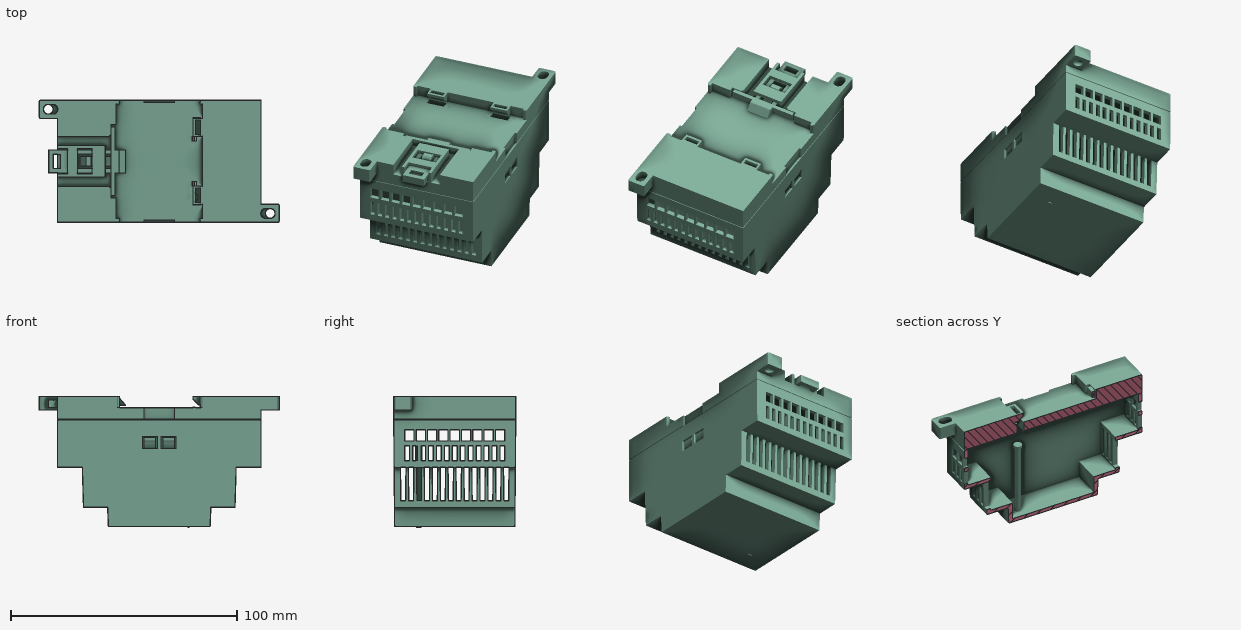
import cadquery as cq


length = 90.0
width = 54.0
overall_length = 106.0
top_z = 57.5
recess_z = 52.5
joint_z = 47.5
groove_bottom_z = 47.0
joint_groove_depth = 0.3
half_length = length / 2
half_width = width / 2

tab_recess_length = 13.3
tab_recess_depth = 1.0

wall = 2.0
upper_step_z = 26.1
lower_step_z = 8.5
middle_half_top = 34.0
middle_half_bottom = 33.5
lower_half_top = 22.85
lower_half_bottom = 22.5
side_draft = 0.4

window_count = 9
window_pitch = 5.0
window_width = 4.0
window_bottom_z = 37.9
window_height = 4.8

vent_pitch = 3.5
vent_width = 2.0
upper_vent_count = 13
upper_vent_bottom_z = 29.15
upper_vent_height = 6.45
lower_vent_count = 14
lower_vent_bottom_z = 11.5
lower_vent_top_width = 2.3

latch_width = 6.6
latch_centre_x = 4.1
latch_bottom_z = 34.5
latch_top_z = 39.7
latch_depth = 1.5
latch_wedge_width = 5.1
latch_wedge_top_z = 39.3
latch_wedge_edge_z = 37.9
latch_wedge_height = 1.0

post_x = 15.3
post_y = -15.9
post_radius = 1.35
post_head_radius = 1.9
post_head_bottom_z = 36.0
post_top_z = 37.5
foot_x = 13.0
foot_thickness = 0.4
foot_width = 1.9
foot_height = 0.3

ear_length = (overall_length - length) / 2
ear_width = 8.1
ear_bottom_z = 51.4
ear_corner_radius = 0.7
ear_hole_x = 49.0
ear_hole_y = 23.0
ear_hole_radius = 2.1
ear_slot_inner_x = 47.0
ear_slot_radius = 2.2
ear_slot_depth = 4.0

recess_half = 19.2
lip_width = 1.7
left_lip_x = -17.5
right_lip_x = 18.1
left_lip_radius = 1.0
right_lip_radius = 0.75

channel_half = 11.05
channel_flare_length = 1.0
channel_flare_width = 0.8
bar_slot_half = 16.2
bar_left_x = -21.2

bridge_half = 7.0
bridge_end_top_x = -23.9
bridge_end_bottom_x = -23.5
bridge_opening_half = 5.65
bridge_mouth_x = -40.5
bridge_window_left_x = -36.1
bridge_window_right_x = -29.6

hook_left_x = 14.9
hook_inner_y = 11.0
hook_outer_y = 19.0
hook_nose_z = 56.2
hook_slope_end_x = 17.5
hook_bottom_z = 53.6
hook_slot_left_x = 16.0
hook_slot_right_x = 18.2
hook_slot_length = 6.3
floor_opening_outer_y = 19.3

ridge_left_x = 14.4
ridge_top_left_x = 15.0
ridge_top_right_x = 15.5
ridge_right_x = 16.4
ridge_inner_y = 8.9
ridge_height = 0.35

slider_half = 5.1
slider_left_x = -48.8
slider_top_z = 55.9
pull_hole_left_x = -46.7
pull_hole_right_x = -43.5
pull_hole_half = 3.1
pull_hole_ledge_z = 54.5
bar_half = 15.1
bar_right_x = -19.5
bar_bottom_z = 53.5
bar_top_z = 56.9
nose_top_end_x = -17.8
nose_slope_start_x = -17.5
nose_slope_start_z = 56.7
nose_tip_x = -15.0
nose_tip_z = 53.8
finger_half = 2.15
finger_gap = 1.05
finger_left_x = -34.9
finger_top_z = 54.5
bump_top_start_x = -32.4
bump_top_end_x = -30.2
bump_top_z = 57.2


def box(x0, x1, y0, y1, z0, z1):
    """Box between opposite corners."""
    return cq.Workplane("XY").box(x1 - x0, y1 - y0, z1 - z0, centered=False).translate((x0, y0, z0))


def side_prism(points, y0, y1):
    """Prism with an XZ outline, running from y0 to y1."""
    return cq.Workplane("XZ", origin=(0, y1, 0)).polyline(points).close().extrude(y1 - y0)


def both_sides(solid):
    """The solid together with its mirror image across y = 0."""
    return solid.union(solid.mirror("XZ"))


def turned_pair(solid):
    """The solid together with its copy turned half a turn about Z."""
    return solid.union(solid.rotate((0, 0, 0), (0, 0, 1), 180))


def row_positions(count, pitch):
    """Y places of an evenly spaced row centred on y = 0."""
    return [(i - (count - 1) / 2) * pitch for i in range(count)]


def stepped_block():
    right_side = [
        (lower_half_bottom, 0),
        (lower_half_top, lower_step_z),
        (middle_half_bottom, lower_step_z),
        (middle_half_top, upper_step_z),
        (half_length, upper_step_z),
        (half_length, joint_z),
    ]
    left_side = [(-x, z) for x, z in reversed(right_side)]
    block = side_prism(right_side + left_side, -half_width, half_width)
    draft_outline = [
        (-half_width + side_draft, 0),
        (half_width - side_draft, 0),
        (half_width, joint_z),
        (-half_width, joint_z),
    ]
    drafted = cq.Workplane("YZ").polyline(draft_outline).close().extrude(half_length, both=True)
    return block.intersect(drafted)


def housing_cavity():
    cavity_half_width = half_width - side_draft - wall
    levels = [
        (lower_half_bottom, 0),
        (middle_half_bottom, lower_step_z),
        (half_length, upper_step_z),
    ]
    cavity = cq.Workplane("XY")
    for half, bottom_z in levels:
        inner = half - wall
        cavity = cavity.union(
            box(-inner, inner, -cavity_half_width, cavity_half_width, bottom_z + wall, joint_z)
        )
    return cavity


def end_openings():
    """Windows and vents, each cut through both end walls."""
    cuts = cq.Workplane("XY")
    rows = [
        (window_count, window_pitch, window_width, window_bottom_z, window_height),
        (upper_vent_count, vent_pitch, vent_width, upper_vent_bottom_z, upper_vent_height),
    ]
    for count, pitch, opening, bottom_z, height in rows:
        for y in row_positions(count, pitch):
            cuts = cuts.union(
                box(-half_length, half_length, y - opening / 2, y + opening / 2, bottom_z, bottom_z + height)
            )
    for y in row_positions(lower_vent_count, vent_pitch):
        outline = [
            (y - vent_width / 2, lower_vent_bottom_z),
            (y + vent_width / 2, lower_vent_bottom_z),
            (y + lower_vent_top_width / 2, upper_step_z),
            (y - lower_vent_top_width / 2, upper_step_z),
        ]
        cuts = cuts.union(cq.Workplane("YZ").polyline(outline).close().extrude(half_length, both=True))
    return cuts


def joint_groove():
    """Shallow groove around the housing, just below the cover."""
    outer = box(-half_length, half_length, -half_width, half_width, groove_bottom_z, joint_z)
    inner = box(
        -half_length + joint_groove_depth,
        half_length - joint_groove_depth,
        -half_width + joint_groove_depth,
        half_width - joint_groove_depth,
        groove_bottom_z,
        joint_z,
    )
    return outer.cut(inner)


def tab_recesses():
    """Snap tab recesses, cut from both the cover and the housing rim."""
    half = tab_recess_length / 2
    return both_sides(
        box(-half, half, -half_width, -half_width + tab_recess_depth, groove_bottom_z, recess_z)
    )


def latch_pocket(centre_x):
    half = latch_width / 2
    pocket_floor_y = -half_width + latch_depth
    return box(centre_x - half, centre_x + half, -half_width, pocket_floor_y, latch_bottom_z, latch_top_z)


def latch_wedge(centre_x):
    """Catch that stands out of the pocket floor and slopes back to it at the bottom."""
    pocket_floor_y = -half_width + latch_depth
    wedge_y = pocket_floor_y - latch_wedge_height
    outline = [
        (pocket_floor_y, latch_bottom_z),
        (pocket_floor_y, latch_wedge_top_z),
        (wedge_y, latch_wedge_top_z),
        (wedge_y, latch_wedge_edge_z),
    ]
    wedge = cq.Workplane("YZ").polyline(outline).close().extrude(latch_wedge_width / 2, both=True)
    return wedge.translate((centre_x, 0, 0))


def inner_post():
    """Headed post that stands on the housing floor, rooted inside it."""
    root_z = wall / 2
    post = cq.Workplane("XY", origin=(post_x, post_y, root_z)).circle(post_radius)
    post = post.extrude(post_top_z - root_z)
    head = cq.Workplane("XY", origin=(post_x, post_y, post_head_bottom_z)).circle(post_head_radius)
    return post.union(head.extrude(post_top_z - post_head_bottom_z))


def foot():
    """Small rib standing out of the housing underside."""
    return box(
        foot_x - foot_thickness / 2,
        foot_x + foot_thickness / 2,
        post_y - foot_width / 2,
        post_y + foot_width / 2,
        -foot_height,
        wall / 2,
    )


def make_housing():
    body = stepped_block().cut(housing_cavity()).cut(end_openings())
    body = body.cut(joint_groove()).cut(tab_recesses())
    for centre_x in (-latch_centre_x, latch_centre_x):
        body = body.cut(both_sides(latch_pocket(centre_x)))
        body = body.union(both_sides(latch_wedge(centre_x)))
    return body.union(inner_post()).union(foot())


def ears():
    inner_x = half_length - ear_corner_radius
    ear = box(inner_x, half_length + ear_length, -half_width, -half_width + ear_width, ear_bottom_z, top_z)
    return turned_pair(ear.edges("|Z and >X").fillet(ear_corner_radius))


def ear_holes():
    """Through holes, each in the outer end of a blind slot that runs towards the body."""
    hole = cq.Workplane("XY", origin=(ear_hole_x, -ear_hole_y, ear_bottom_z))
    hole = hole.circle(ear_hole_radius).extrude(top_z - ear_bottom_z)
    slot_travel = ear_hole_x - ear_slot_inner_x
    slot_centre_x = (ear_hole_x + ear_slot_inner_x) / 2
    slot = cq.Workplane("XY", origin=(slot_centre_x, -ear_hole_y, top_z - ear_slot_depth))
    slot = slot.slot2D(slot_travel + 2 * ear_slot_radius, 2 * ear_slot_radius).extrude(ear_slot_depth)
    return turned_pair(hole.union(slot))


def rail_recess():
    lip_inner_y = half_width - lip_width
    main = box(-recess_half, recess_half, -lip_inner_y, lip_inner_y, recess_z, top_z)
    bar_slot = box(bar_left_x, -recess_half, -bar_slot_half, bar_slot_half, recess_z, top_z)
    mouth = (
        cq.Workplane("XY", origin=(0, 0, recess_z))
        .moveTo(left_lip_x, -lip_inner_y)
        .lineTo(left_lip_x, -half_width + left_lip_radius)
        .radiusArc((left_lip_x - left_lip_radius, -half_width), left_lip_radius)
        .lineTo(right_lip_x + right_lip_radius, -half_width)
        .radiusArc((right_lip_x, -half_width + right_lip_radius), right_lip_radius)
        .lineTo(right_lip_x, -lip_inner_y)
        .close()
        .extrude(top_z - recess_z)
    )
    return main.union(bar_slot).union(both_sides(mouth))


def slider_channel():
    flare_x = bar_left_x - channel_flare_length
    half_outline = [
        (-half_length, channel_half),
        (flare_x, channel_half),
        (bar_left_x, channel_half + channel_flare_width),
    ]
    other_half = [(x, -y) for x, y in reversed(half_outline)]
    channel = cq.Workplane("XY", origin=(0, 0, recess_z)).polyline(half_outline + other_half).close()
    return channel.extrude(top_z - recess_z)


def bridge():
    outline = [
        (-half_length, recess_z),
        (bridge_end_bottom_x, recess_z),
        (bridge_end_top_x, top_z),
        (-half_length, top_z),
    ]
    block = side_prism(outline, -bridge_half, bridge_half)
    tunnel = box(-half_length, bar_left_x, -slider_half, slider_half, recess_z, slider_top_z)
    half = bridge_opening_half
    mouth = box(-half_length, bridge_mouth_x, -half, half, recess_z, top_z)
    window = box(bridge_window_left_x, bridge_window_right_x, -half, half, recess_z, top_z)
    return block.cut(tunnel).cut(mouth).cut(window)


def rail_hooks():
    outline = [
        (recess_half, top_z),
        (hook_left_x, top_z),
        (hook_left_x, hook_nose_z),
        (hook_slope_end_x, hook_bottom_z),
        (recess_half, hook_bottom_z),
    ]
    hook = side_prism(outline, hook_inner_y, hook_outer_y)
    centre_y = (hook_inner_y + hook_outer_y) / 2
    slot = box(
        hook_slot_left_x,
        hook_slot_right_x,
        centre_y - hook_slot_length / 2,
        centre_y + hook_slot_length / 2,
        hook_bottom_z,
        top_z,
    )
    return both_sides(hook.cut(slot))


def floor_openings():
    """Openings through the recess floor under the hooks."""
    return both_sides(
        box(hook_left_x, hook_slot_right_x, hook_inner_y, floor_opening_outer_y, joint_z, recess_z)
    )


def ridges():
    outline = [
        (ridge_left_x, recess_z),
        (ridge_right_x, recess_z),
        (ridge_top_right_x, recess_z + ridge_height),
        (ridge_top_left_x, recess_z + ridge_height),
    ]
    return both_sides(side_prism(outline, ridge_inner_y, hook_inner_y))


def make_cover():
    body = box(-half_length, half_length, -half_width, half_width, joint_z, top_z).union(ears())
    body = body.cut(ear_holes()).cut(rail_recess()).cut(slider_channel())
    body = body.union(bridge()).union(ridges())
    body = body.cut(floor_openings()).cut(tab_recesses())
    return body.union(rail_hooks())


def make_slider():
    plate = box(slider_left_x, bar_left_x, -slider_half, slider_half, recess_z, slider_top_z)
    pull_hole = box(
        pull_hole_left_x, pull_hole_right_x, -pull_hole_half, pull_hole_half, recess_z, slider_top_z
    )
    pull_ledge = box(
        -half_length, pull_hole_right_x, -pull_hole_half, pull_hole_half, recess_z, pull_hole_ledge_z
    )
    gap_half = finger_half + finger_gap
    finger_space = box(finger_left_x - finger_gap, bar_left_x, -gap_half, gap_half, recess_z, slider_top_z)
    finger_outline = [
        (finger_left_x, recess_z),
        (bar_left_x, recess_z),
        (bar_left_x, finger_top_z),
        (bump_top_end_x, finger_top_z),
        (bump_top_end_x, bump_top_z),
        (bump_top_start_x, bump_top_z),
        (finger_left_x, finger_top_z),
    ]
    finger = side_prism(finger_outline, -finger_half, finger_half)
    cross_bar = box(bar_left_x, bar_right_x, -bar_half, bar_half, bar_bottom_z, bar_top_z)
    nose_outline = [
        (bar_right_x, bar_bottom_z),
        (nose_tip_x, bar_bottom_z),
        (nose_tip_x, nose_tip_z),
        (nose_slope_start_x, nose_slope_start_z),
        (nose_top_end_x, bar_top_z),
        (bar_right_x, bar_top_z),
    ]
    nose = side_prism(nose_outline, -slider_half, slider_half)
    body = plate.cut(pull_hole).union(pull_ledge).cut(finger_space).union(finger)
    return body.union(cross_bar).union(nose)


housing = make_housing()
cover = make_cover()
slider = make_slider()

result = cq.Compound.makeCompound(
    [*housing.solids().vals(), *cover.solids().vals(), *slider.solids().vals()]
)